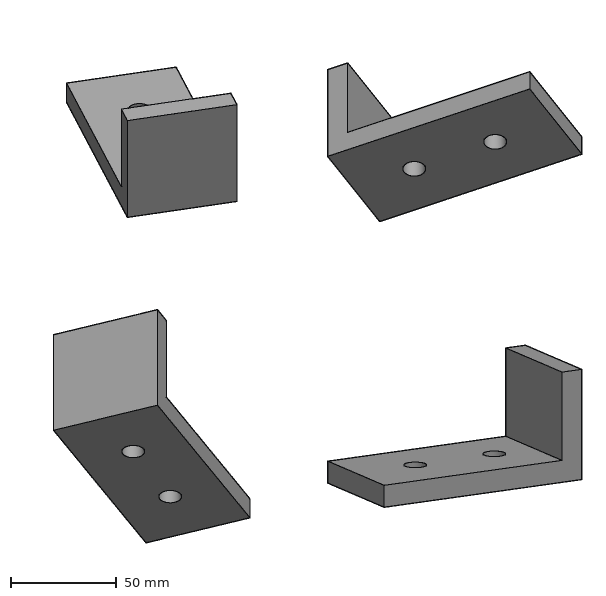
import cadquery as cq

length = 107.6
width = 53.8
height = 53.8
thickness = 10.8
hole_diameter = 10.8
hole_end_distance = 32.3

base = cq.Workplane("XY").box(length, width, thickness, centered=False)

wall = (
    cq.Workplane("XY")
    .box(thickness, width, height - thickness, centered=False)
    .translate((length - thickness, 0, thickness))
)

hole_centres = [
    (hole_end_distance, width / 2),
    (length - hole_end_distance, width / 2),
]
holes = (
    cq.Workplane("XY")
    .pushPoints(hole_centres)
    .circle(hole_diameter / 2)
    .extrude(thickness)
)

result = base.union(wall, clean=False).cut(holes, clean=False)